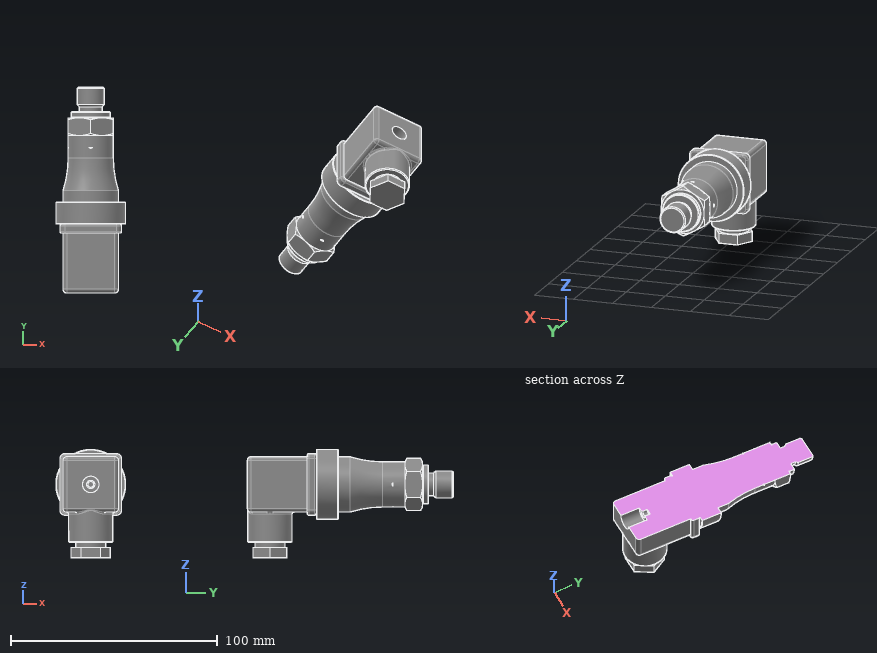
import cadquery as cq
import math


flange_start = 29.0
ring_start = 33.4
ring_end = 44.1
flare_start = 49.8
flare_end = 65.4
hex_start = 76.3
hex_end = 84.8
collar_end = 87.8
undercut_end = 90.1
thread_start = 91.2
total_length = 99.7

ring_diameter = 33.9
ring_chamfer = 0.3
shoulder_diameter = 26.9
barrel_diameter = 22.0
collar_diameter = 18.9
collar_chamfer = 0.4
undercut_diameter = 11.2
thread_diameter = 13.2
thread_chamfer = 0.6

hex_flats = 22.0
hex_chamfer_angle = 30.0

dimple_diameter = 2.0
dimple_center_y = 71.1
dimple_flat_offset = 0.6
dimple_depth = 0.3
dimple_count = 4

housing_side = 26.9
housing_fillet = 1.9
flange_side = 29.9
flange_corner_radius = 2.5
flange_fillet = 0.9

recess_diameter = 8.0
recess_depth = 10.0
screw_hole_diameter = 2.8
countersink_diameter = 4.0
screw_hole_depth = 3.0

outlet_center_y = 11.0
outlet_diameter = 21.5
outlet_bottom = -28.1
outlet_chamfer = 0.5
outlet_fillet = 0.9
gland_neck_diameter = 14.7
gland_top = -30.5
gland_bottom = -35.5
gland_flats = 16.6


def hexagon_corners(flats):
    """Diameter across the corners of a hexagon with the given width across flats."""
    return flats / math.cos(math.radians(30))


def section_at(y):
    """Workplane across the sensor axis at y, with its normal pointing to +Y."""
    return cq.Workplane(cq.Plane(origin=(0, y, 0), xDir=(1, 0, 0), normal=(0, 1, 0)))


def turned_body():
    """Ring, shoulder, flared barrel, collar and threaded tip as one revolved outline."""
    ring_radius = ring_diameter / 2
    shoulder_radius = shoulder_diameter / 2
    barrel_radius = barrel_diameter / 2
    collar_radius = collar_diameter / 2
    undercut_radius = undercut_diameter / 2
    thread_radius = thread_diameter / 2
    return (
        cq.Workplane("XY")
        .moveTo(0, ring_start)
        .lineTo(ring_radius - ring_chamfer, ring_start)
        .lineTo(ring_radius, ring_start + ring_chamfer)
        .lineTo(ring_radius, ring_end - ring_chamfer)
        .lineTo(ring_radius - ring_chamfer, ring_end)
        .lineTo(shoulder_radius, ring_end)
        .lineTo(shoulder_radius, flare_start)
        .threePointArc(flare_midpoint(), (barrel_radius, flare_end))
        .lineTo(barrel_radius, hex_end)
        .lineTo(collar_radius - collar_chamfer, hex_end)
        .lineTo(collar_radius, hex_end + collar_chamfer)
        .lineTo(collar_radius, collar_end - collar_chamfer)
        .lineTo(collar_radius - collar_chamfer, collar_end)
        .lineTo(undercut_radius, collar_end)
        .lineTo(undercut_radius, undercut_end)
        .lineTo(thread_radius, thread_start)
        .lineTo(thread_radius, total_length - thread_chamfer)
        .lineTo(thread_radius - thread_chamfer, total_length)
        .lineTo(0, total_length)
        .close()
        .revolve(360, (0, 0, 0), (0, 1, 0))
    )


def flare_midpoint():
    """Middle of the concave flare arc, which runs tangent into the barrel."""
    length = flare_end - flare_start
    rise = (shoulder_diameter - barrel_diameter) / 2
    arc_radius = (length**2 + rise**2) / (2 * rise)
    half_angle = math.asin(length / arc_radius) / 2
    return (
        barrel_diameter / 2 + arc_radius * (1 - math.cos(half_angle)),
        flare_end - arc_radius * math.sin(half_angle),
    )


def spanner_hexagon():
    """Hexagon with corners on +Z and -Z, its corners turned off at both ends."""
    flat_radius = hex_flats / 2
    corner_radius = hexagon_corners(hex_flats) / 2
    chamfer_length = (corner_radius - flat_radius) * math.tan(math.radians(hex_chamfer_angle))
    prism = (
        section_at(hex_start)
        .transformed(rotate=(0, 0, 90))
        .polygon(6, 2 * corner_radius)
        .extrude(hex_end - hex_start)
    )
    turned_limit = (
        section_at(hex_start)
        .circle(corner_radius)
        .extrude(hex_end - hex_start)
        .faces("<Y or >Y")
        .chamfer(chamfer_length, corner_radius - flat_radius)
    )
    return prism.intersect(turned_limit)


def barrel_dimples():
    """Shallow cutters, each a segment of a round hole, spaced evenly around the barrel."""
    radius = dimple_diameter / 2
    half_chord = math.sqrt(radius**2 - dimple_flat_offset**2)
    flat_y = dimple_center_y - dimple_flat_offset
    cutter = (
        cq.Workplane("XY", origin=(0, 0, barrel_diameter / 2 - dimple_depth))
        .moveTo(-half_chord, flat_y)
        .threePointArc((0, dimple_center_y - radius), (half_chord, flat_y))
        .close()
        .extrude(2 * dimple_depth)
    )
    cutters = cq.Workplane("XY")
    for index in range(dimple_count):
        cutters = cutters.add(cutter.rotate((0, 0, 0), (0, 1, 0), index * 360 / dimple_count))
    return cutters.combine()


def flange():
    """Square flange between housing and ring, rounded on its corners and rims."""
    return (
        section_at(flange_start)
        .rect(flange_side, flange_side)
        .extrude(ring_start - flange_start)
        .edges("|Y")
        .fillet(flange_corner_radius)
        .faces("<Y or >Y")
        .edges()
        .fillet(flange_fillet)
    )


def outlet_section(z):
    """Horizontal workplane at z, centred on the cable outlet."""
    return cq.Workplane("XY", origin=(0, outlet_center_y, z))


def on_outlet_joint(edge):
    """True for an edge where the outlet wall meets the rounded underside of the housing."""
    tolerance = 0.01
    box_bottom = -housing_side / 2
    ends = (edge.startPoint(), edge.endPoint())
    return all(
        box_bottom - tolerance < end.z < 0
        and abs(math.hypot(end.x, end.y - outlet_center_y) - outlet_diameter / 2) < tolerance
        for end in ends
    )


def housing():
    """Box with rounded edges and the cable outlet blended into its underside."""
    box = (
        section_at(0)
        .rect(housing_side, housing_side)
        .extrude(ring_start)
        .edges("|Y or <Y")
        .fillet(housing_fillet)
    )
    outlet = outlet_section(outlet_bottom).circle(outlet_diameter / 2).extrude(-outlet_bottom)
    body = box.union(outlet)
    joint = [edge for edge in body.edges().vals() if on_outlet_joint(edge)]
    return body.newObject(joint).fillet(outlet_fillet).faces("<Z").chamfer(outlet_chamfer)


def cable_gland():
    """Round neck and hexagonal nut below the outlet, with nut corners on +X and -X."""
    neck = (
        outlet_section(gland_top)
        .circle(gland_neck_diameter / 2)
        .extrude(outlet_bottom - gland_top)
    )
    nut = (
        outlet_section(gland_bottom)
        .polygon(6, hexagon_corners(gland_flats))
        .extrude(gland_top - gland_bottom)
    )
    return neck.union(nut)


def screw_recess():
    """Cutter for the round recess and the countersunk screw hole in its floor."""
    countersink_depth = (countersink_diameter - screw_hole_diameter) / 2
    hole_radius = screw_hole_diameter / 2
    return (
        cq.Workplane("XY")
        .lineTo(recess_diameter / 2, 0)
        .lineTo(recess_diameter / 2, recess_depth)
        .lineTo(countersink_diameter / 2, recess_depth)
        .lineTo(hole_radius, recess_depth + countersink_depth)
        .lineTo(hole_radius, recess_depth + screw_hole_depth)
        .lineTo(0, recess_depth + screw_hole_depth)
        .close()
        .revolve(360, (0, 0, 0), (0, 1, 0))
    )


sensor = turned_body().union(spanner_hexagon()).cut(barrel_dimples())
result = sensor.union(flange()).union(housing()).union(cable_gland()).cut(screw_recess())